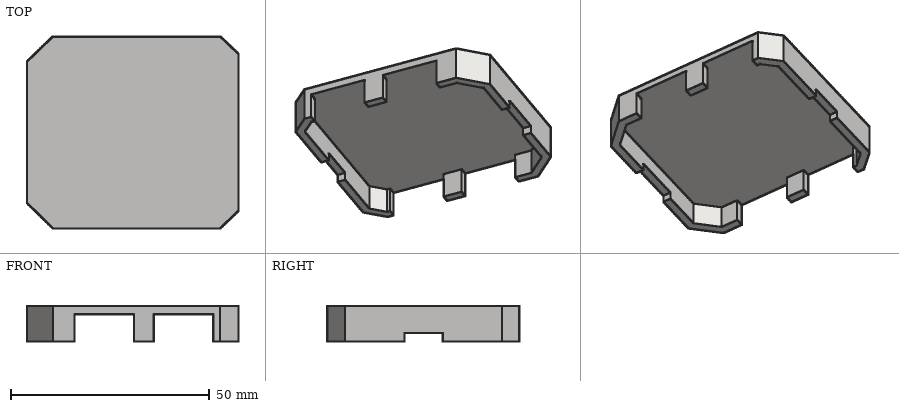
import cadquery as cq

length = 53.4
width = 48.5
height = 9.0

wall = 2.15
top_thickness = 2.15
cavity_height = height - top_thickness

left_front_cut = (6.6, 6.45)
left_back_cut = (6.45, 6.25)
right_front_cut = (4.7, 4.5)
right_back_cut = (4.55, 4.3)

opening_length = 14.95
post_length = 5.05
first_opening_offset = 12.0

notch_height = 2.15
left_notch_width = 12.45
left_notch_offset = 17.85
right_notch_width = 9.55
right_notch_offset = 19.4

left, right = -length / 2, length / 2
front, back = -width / 2, width / 2


def make_outline():
    """Rectangle with its four corners cut off."""
    return cq.Workplane("XY").polyline([
        (left + left_front_cut[0], front),
        (right - right_front_cut[0], front),
        (right, front + right_front_cut[1]),
        (right, back - right_back_cut[1]),
        (right - right_back_cut[0], back),
        (left + left_back_cut[0], back),
        (left, back - left_back_cut[1]),
        (left, front + left_front_cut[1]),
    ]).close()


def make_shell():
    """Closed top and side walls, open underneath."""
    cavity = make_outline().offset2D(-wall).extrude(cavity_height)
    return make_outline().extrude(height).cut(cavity)


def wall_opening(x_start):
    """Block that opens both long walls up to the underside of the top."""
    block = cq.Workplane("XY").box(opening_length, width, cavity_height, centered=(False, True, False))
    return block.translate((x_start, 0, 0))


def end_notch(x_start, back_offset, notch_width):
    """Block that notches the lower edge of one end wall."""
    block = cq.Workplane("XY").box(wall, notch_width, notch_height, centered=False)
    return block.translate((x_start, back - back_offset - notch_width, 0))


result = make_shell()

for index in range(2):
    opening_start = left + first_opening_offset + index * (opening_length + post_length)
    result = result.cut(wall_opening(opening_start))

result = result.cut(end_notch(left, left_notch_offset, left_notch_width))
result = result.cut(end_notch(right - wall, right_notch_offset, right_notch_width))